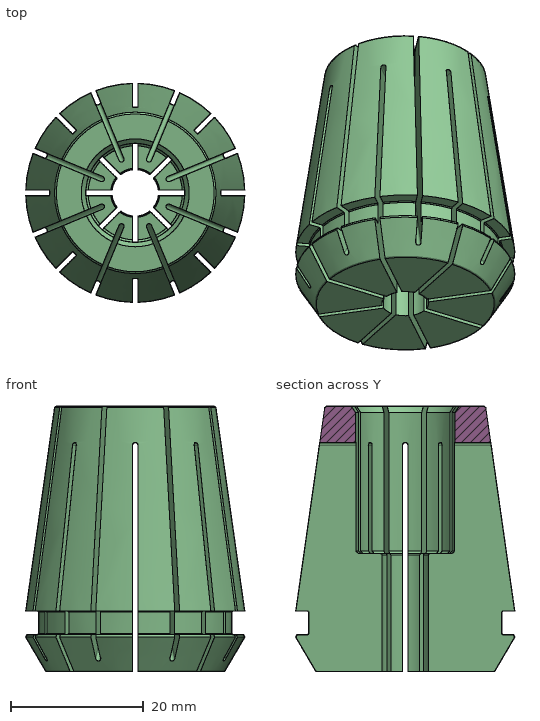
import cadquery as cq
import math

height = 40.0
max_diameter = 33.0
max_radius = max_diameter / 2

nose_radius = 13.5
nose_edge_chamfer = 0.1
nose_rim_height = 5.2
collar_top = 5.6
collar_chamfer = 0.2

groove_radius = 14.55
groove_top = 9.1
groove_corner_chamfer = 0.15

back_radius = 12.1
back_edge_chamfer = 0.25
taper_slope = (max_radius - back_radius) / (height - groove_top)

bore_diameter = 7.0
bore_radius = bore_diameter / 2
bore_edge_chamfer = 0.2
relief_radius = 7.45
relief_floor = 17.8
relief_corner_chamfer = 0.35
relief_mouth_radius = 8.1
relief_mouth_depth = 1.0

slot_width = 0.8
slots_per_set = 8
slot_pitch = 360.0 / slots_per_set
front_slot_top = 34.5
back_slot_foot_radius = 14.4
back_slot_foot_height = 1.6
back_slot_rise_angle = 60.0


def collet_body():
    """Solid of revolution: nose, collar, groove and long taper."""
    profile = [
        (0, 0),
        (nose_radius - nose_edge_chamfer, 0),
        (nose_radius, nose_edge_chamfer),
        (max_radius, nose_rim_height),
        (max_radius - collar_chamfer, collar_top),
        (groove_radius + groove_corner_chamfer, collar_top),
        (groove_radius, collar_top + groove_corner_chamfer),
        (groove_radius, groove_top - groove_corner_chamfer),
        (groove_radius + groove_corner_chamfer, groove_top),
        (max_radius, groove_top),
        (back_radius + taper_slope * back_edge_chamfer, height - back_edge_chamfer),
        (back_radius - back_edge_chamfer, height),
        (0, height),
    ]
    return cq.Workplane("XZ").polyline(profile).close().revolve(360, (0, 0, 0), (0, 1, 0))


def bore_cutter():
    """Stepped bore with a chamfered floor corner and a tapered mouth."""
    return (
        cq.Workplane("XZ")
        .lineTo(bore_radius, 0)
        .lineTo(bore_radius, relief_floor - bore_edge_chamfer)
        .lineTo(bore_radius + bore_edge_chamfer, relief_floor)
        .lineTo(relief_radius - relief_corner_chamfer, relief_floor)
        .lineTo(relief_radius, relief_floor + relief_corner_chamfer)
        .lineTo(relief_radius, height - relief_mouth_depth)
        .lineTo(relief_mouth_radius, height)
        .lineTo(0, height)
        .close()
        .revolve(360, (0, 0, 0), (0, 1, 0))
    )


def front_slot():
    """Slot along +X, open at the nose, with a round horizontal upper end."""
    half_width = slot_width / 2
    return (
        cq.Workplane("YZ")
        .moveTo(-half_width, 0)
        .lineTo(-half_width, front_slot_top - half_width)
        .threePointArc((0, front_slot_top), (half_width, front_slot_top - half_width))
        .lineTo(half_width, 0)
        .close()
        .extrude(max_radius)
    )


def back_slot():
    """Slot along +X, open at the back, with a round floor that climbs towards the axis."""
    half_width = slot_width / 2
    reach = 2 * height
    angle = math.radians(back_slot_rise_angle)
    floor_direction = cq.Vector(-math.cos(angle), 0, math.sin(angle))
    foot = cq.Vector(back_slot_foot_radius, 0, back_slot_foot_height)
    plane = cq.Plane(
        origin=foot - floor_direction * height,
        xDir=(0, -1, 0),
        normal=floor_direction,
    )
    return (
        cq.Workplane(plane)
        .moveTo(-half_width, reach)
        .lineTo(-half_width, half_width)
        .threePointArc((0, 0), (half_width, half_width))
        .lineTo(half_width, reach)
        .close()
        .extrude(reach)
    )


result = collet_body().cut(bore_cutter())
for index in range(slots_per_set):
    angle = index * slot_pitch
    result = result.cut(front_slot().rotate((0, 0, 0), (0, 0, 1), angle))
    result = result.cut(back_slot().rotate((0, 0, 0), (0, 0, 1), angle + slot_pitch / 2))